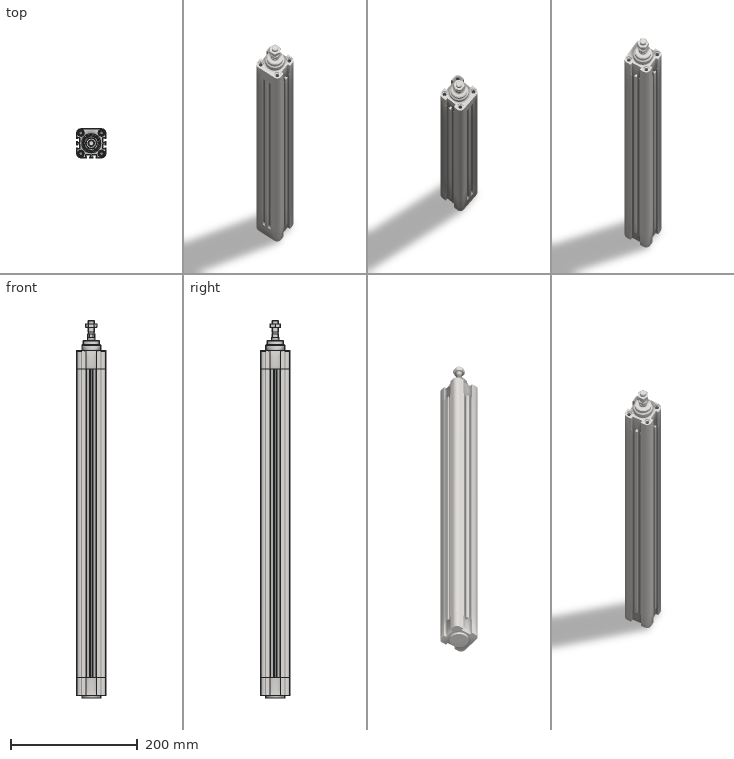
import cadquery as cq
import math

TOTAL_LENGTH = 596.0
TOP_Z = TOTAL_LENGTH / 2
BOTTOM_Z = -TOTAL_LENGTH / 2
THREAD_LENGTH = 22.0
SHOULDER_HEIGHT = 26.0
REAR_COLLAR_HEIGHT = 4.0
CAP_LENGTH = 29.0

SHOULDER_Z = TOP_Z - THREAD_LENGTH
FRONT_FACE_Z = SHOULDER_Z - SHOULDER_HEIGHT
TUBE_TOP_Z = FRONT_FACE_Z - CAP_LENGTH
REAR_FACE_Z = BOTTOM_Z + REAR_COLLAR_HEIGHT
TUBE_BOTTOM_Z = REAR_FACE_Z + CAP_LENGTH

SECTION_WIDTH = 46.0
CORNER_RADIUS = 7.4
HALF_WIDTH = SECTION_WIDTH / 2
RECESSED_CAP_SIDES = (180, 270, 0)
TUBE_SIDES = (0, 90, 180, 270)

BORE_DIAMETER = 32.0
TUBE_GROOVE_OUTER = 7.5
TUBE_GROOVE_INNER = 2.5
TUBE_GROOVE_DEPTH = 4.5
GROOVE_LIP_THICKNESS = 1.5
GROOVE_UNDERCUT = 1.0

CAP_RECESS_WIDTH = 17.0
CAP_RECESS_DEPTH = 4.5
SCREW_PITCH = 32.5
COUNTERBORE_DIAMETER = 10.5
COUNTERBORE_DEPTH = 1.0
STEP_DIAMETER = 8.8
STEP_DEPTH = 2.0
SCREW_HOLE_DIAMETER = 6.0
SCREW_HOLE_DEPTH = 16.0
DRILL_POINT_ANGLE = 118.0
COLLAR_DIAMETER = 30.0
COLLAR_HEIGHT = 10.0
COLLAR_CHAMFER_HEIGHT = 1.5
NOSE_DIAMETER = 26.0
NOSE_HEIGHT = 16.5
NOSE_CHAMFER_HEIGHT = 1.0
NOSE_CHAMFER_WIDTH = 1.8

ROD_DIAMETER = 12.0
THREAD_DIAMETER = 10.0
THREAD_CHAMFER = 1.0
NECK_DIAMETER = 8.8
NECK_LENGTH = 3.5
WRENCH_DIAMETER = 11.5
FLAT_WIDTH = 10.0
FLAT_LENGTH = 5.5

NUT_ACROSS_FLATS = 16.0
NUT_HEIGHT = 6.0
NUT_CHAMFER_DIAMETER = 16.0
NUT_CHAMFER_ANGLE = 30.0
THREAD_ABOVE_NUT = 5.5
NUT_TOP_Z = TOP_Z - THREAD_ABOVE_NUT


def square_bar(bottom_z, length):
    plane = cq.Workplane("XY", origin=(0, 0, bottom_z))
    bar = plane.rect(SECTION_WIDTH, SECTION_WIDTH).extrude(length)
    return bar.edges("|Z").fillet(CORNER_RADIUS)


def side_channel(offset, width, top, depth, bottom_z, length, side):
    """A channel cutter from depth `top` to `depth` below the side facing `side` degrees."""
    channel = (
        cq.Workplane("XY", origin=(0, 0, bottom_z))
        .center(HALF_WIDTH - (top + depth) / 2, offset)
        .rect(depth - top, width)
        .extrude(length)
    )
    return channel.rotate((0, 0, 0), (0, 0, 1), side)


def disc(diameter, bottom_z, height):
    return cq.Workplane("XY", origin=(0, 0, bottom_z)).circle(diameter / 2).extrude(height)


def make_tube():
    length = TUBE_TOP_Z - TUBE_BOTTOM_Z
    tube = square_bar(TUBE_BOTTOM_Z, length).cut(disc(BORE_DIAMETER, TUBE_BOTTOM_Z, length))
    groove_width = TUBE_GROOVE_OUTER - TUBE_GROOVE_INNER
    groove_offset = (TUBE_GROOVE_OUTER + TUBE_GROOVE_INNER) / 2
    undercut_width = groove_width + 2 * GROOVE_UNDERCUT
    for side in TUBE_SIDES:
        for offset in (-groove_offset, groove_offset):
            slot = side_channel(
                offset, groove_width, 0, TUBE_GROOVE_DEPTH, TUBE_BOTTOM_Z, length, side
            )
            undercut = side_channel(
                offset, undercut_width, GROOVE_LIP_THICKNESS, TUBE_GROOVE_DEPTH, TUBE_BOTTOM_Z, length, side
            )
            tube = tube.cut(slot).cut(undercut)
    return tube


def cap_block(bottom_z):
    """A cap body with recesses in three sides; the +Y side stays plain."""
    block = square_bar(bottom_z, CAP_LENGTH)
    for side in RECESSED_CAP_SIDES:
        block = block.cut(
            side_channel(0, CAP_RECESS_WIDTH, 0, CAP_RECESS_DEPTH, bottom_z, CAP_LENGTH, side)
        )
    return block


def screw_hole():
    """Cutter for one blind screw hole with a counterbore and a drill point, revolved about Z."""
    radius = SCREW_HOLE_DIAMETER / 2
    point_length = radius / math.tan(math.radians(DRILL_POINT_ANGLE / 2))
    return (
        cq.Workplane("XZ")
        .moveTo(0, 0)
        .lineTo(COUNTERBORE_DIAMETER / 2, 0)
        .lineTo(COUNTERBORE_DIAMETER / 2, -COUNTERBORE_DEPTH)
        .lineTo(STEP_DIAMETER / 2, -COUNTERBORE_DEPTH)
        .lineTo(STEP_DIAMETER / 2, -STEP_DEPTH)
        .lineTo(radius, -STEP_DEPTH)
        .lineTo(radius, -SCREW_HOLE_DEPTH)
        .lineTo(0, -SCREW_HOLE_DEPTH - point_length)
        .close()
        .revolve(360, (0, 0, 0), (0, 1, 0))
    )


def make_front_cap():
    cap = cap_block(TUBE_TOP_Z)
    for x in (-SCREW_PITCH / 2, SCREW_PITCH / 2):
        for y in (-SCREW_PITCH / 2, SCREW_PITCH / 2):
            cap = cap.cut(screw_hole().translate((x, y, FRONT_FACE_Z)))

    collar_step = (COLLAR_DIAMETER - NOSE_DIAMETER) / 2
    collar = disc(COLLAR_DIAMETER, FRONT_FACE_Z, COLLAR_HEIGHT)
    collar = collar.faces(">Z").edges().chamfer(COLLAR_CHAMFER_HEIGHT, collar_step)
    nose = disc(NOSE_DIAMETER, FRONT_FACE_Z, NOSE_HEIGHT)
    nose = nose.faces(">Z").edges().chamfer(NOSE_CHAMFER_HEIGHT, NOSE_CHAMFER_WIDTH)
    cap = cap.union(collar).union(nose)
    return cap.cut(disc(ROD_DIAMETER, TUBE_TOP_Z, CAP_LENGTH + NOSE_HEIGHT))


def make_rear_cap():
    return cap_block(REAR_FACE_Z).union(disc(COLLAR_DIAMETER, BOTTOM_Z, REAR_COLLAR_HEIGHT))


def make_rod():
    thread = disc(THREAD_DIAMETER, SHOULDER_Z + NECK_LENGTH, THREAD_LENGTH - NECK_LENGTH)
    thread = thread.faces(">Z").edges().chamfer(THREAD_CHAMFER)
    neck = disc(NECK_DIAMETER, SHOULDER_Z, NECK_LENGTH)
    wrench_z = SHOULDER_Z - FLAT_LENGTH
    shank = disc(ROD_DIAMETER, TUBE_BOTTOM_Z, wrench_z - TUBE_BOTTOM_Z)
    wrench_end = disc(WRENCH_DIAMETER, wrench_z, FLAT_LENGTH)
    for side in (-1, 1):
        flat_cut = (
            cq.Workplane("XY", origin=(0, side * FLAT_WIDTH, wrench_z))
            .rect(ROD_DIAMETER, FLAT_WIDTH)
            .extrude(FLAT_LENGTH)
        )
        wrench_end = wrench_end.cut(flat_cut)
    return shank.union(wrench_end).union(neck).union(thread)


def make_nut():
    across_corners = NUT_ACROSS_FLATS / math.cos(math.pi / 6)
    bottom_z = NUT_TOP_Z - NUT_HEIGHT
    cone_width = (across_corners - NUT_CHAMFER_DIAMETER) / 2
    cone_drop = cone_width * math.tan(math.radians(NUT_CHAMFER_ANGLE))
    envelope = disc(across_corners, bottom_z, NUT_HEIGHT)
    envelope = envelope.edges().chamfer(cone_drop, cone_width)
    return (
        cq.Workplane("XY", origin=(0, 0, bottom_z))
        .polygon(6, across_corners)
        .extrude(NUT_HEIGHT)
        .intersect(envelope)
        .cut(disc(THREAD_DIAMETER, bottom_z, NUT_HEIGHT))
    )


tube = make_tube()
front_cap = make_front_cap()
rear_cap = make_rear_cap()
rod = make_rod()
nut = make_nut()

result = cq.Compound.makeCompound([tube.val(), front_cap.val(), rear_cap.val(), rod.val(), nut.val()])